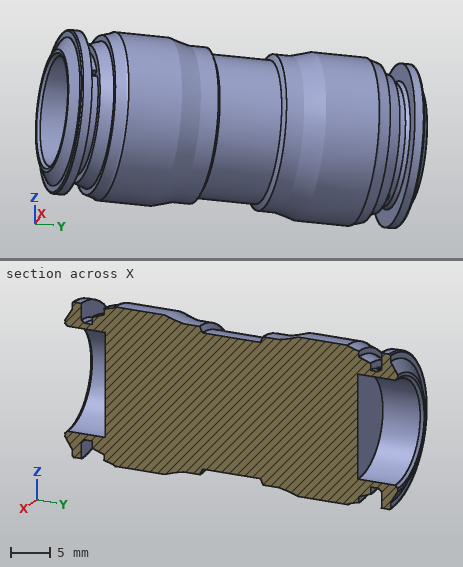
import cadquery as cq

length = 47.2
half_length = length / 2

flange_start = 1.05
flange_end = 2.35
flange_chamfer = 0.2
neck_start = 2.9
neck_end = 3.85
ring_end = 5.5
shoulder_edge = 6.85
barrel_start = 7.15
barrel_end = 14.1
collar_start = 16.8
collar_taper_start = 19.1
collar_end = 19.55

end_face_radius = 7.85
nose_radius = 9.5
flange_radius = 10.5
neck_flare_radius = 8.2
neck_radius = 7.9
ring_small_radius = 8.85
ring_large_radius = 9.45
shoulder_small_radius = 10.2
shoulder_large_radius = 10.55
barrel_radius = 10.75
collar_radius = 10.0
waist_radius = 9.2

bore_radius = 7.05
bore_depth = 5.65
lip_chamfer = 0.4

window_width = 0.9
window_length = 0.55
front_window_angle = 20.0
rear_window_angle = 100.0


def outer_half():
    """Revolve the stepped outside from the -Y end to the middle of the part."""
    profile = [
        (0, 0),
        (end_face_radius, 0),
        (nose_radius, flange_start),
        (flange_radius - flange_chamfer, flange_start),
        (flange_radius, flange_start + flange_chamfer),
        (flange_radius, flange_end),
        (neck_flare_radius, flange_end),
        (neck_radius, neck_start),
        (neck_radius, neck_end),
        (ring_small_radius, neck_end),
        (ring_large_radius, ring_end),
        (shoulder_small_radius, ring_end),
        (shoulder_large_radius, shoulder_edge),
        (barrel_radius, barrel_start),
        (barrel_radius, barrel_end),
        (collar_radius, collar_start),
        (collar_radius, collar_taper_start),
        (waist_radius, collar_end),
        (waist_radius, half_length),
        (0, half_length),
    ]
    half = cq.Workplane("XY").polyline(profile).close().revolve(360, (0, 0, 0), (0, 1, 0))
    return half.translate((0, -half_length, 0))


def socket():
    """Blind bore with a chamfered mouth at the -Y end."""
    profile = [
        (0, 0),
        (bore_radius + lip_chamfer, 0),
        (bore_radius, lip_chamfer),
        (bore_radius, bore_depth),
        (0, bore_depth),
    ]
    bore = cq.Workplane("XY").polyline(profile).close().revolve(360, (0, 0, 0), (0, 1, 0))
    return bore.translate((0, -half_length, 0))


def neck_windows(angle):
    """Two opposite windows in the -Y neck, against the ring; angle is from +X towards +Z."""
    window_centre = -half_length + neck_end - window_length / 2
    bar = cq.Workplane("XY").box(2 * ring_small_radius, window_length, window_width)
    return bar.translate((0, window_centre, 0)).rotate((0, 0, 0), (0, 1, 0), -angle)


def coupling_half(window_angle):
    return outer_half().cut(socket()).cut(neck_windows(window_angle))


front_half = coupling_half(front_window_angle)
rear_half = coupling_half(rear_window_angle).mirror("XZ")
result = front_half.union(rear_half)